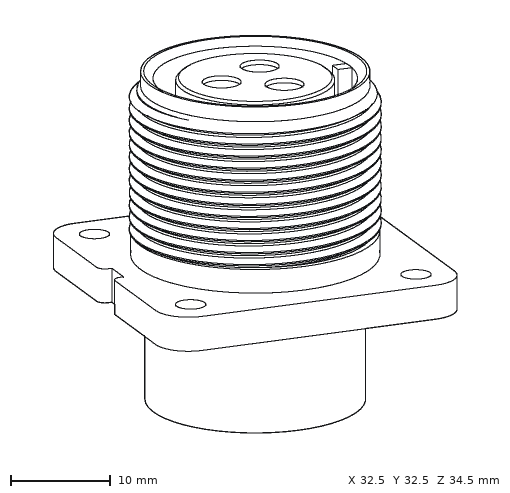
import cadquery as cq
import math

total_height = 34.55
flange_bottom = 11.65
flange_thickness = 3.6
flange_top = flange_bottom + flange_thickness
collar_top = 17.72
nose_bottom = 33.0

flange_side = 32.55
corner_radius = 3.55
hole_spacing = 24.55
hole_diameter = 3.05
notch_width = 2.97
notch_depth = 1.28
notch_round = 0.9

barrel_radius = 11.1
collar_radius = 12.5
nose_radius = 11.5

thread_turns = 12
thread_pitch = (nose_bottom - collar_top) / thread_turns
crest_radius = 12.65
root_radius = 11.88
crest_flat = 0.15
flank_angle = 30.0
ridge_overlap = 0.1
envelope_clearance = 0.35
crest_height_at_x = 18.3

bore_radius = 10.25
mouth_radius = 11.2
mouth_depth = 0.73
socket_floor = flange_top
insert_radius = 7.98
insert_chamfer = 0.28
insert_top = 33.9

key_width = 1.45
key_inner_radius = 8.7
key_top = total_height - mouth_depth
key_foot_top = (socket_floor + key_top) / 2

contact_count = 3
contact_diameter = 3.9
contact_circle_radius = 3.65
contact_depth = 0.5
first_contact_angle = -90.0


def cylinder(radius, bottom, top):
    return cq.Workplane("XY").workplane(offset=bottom).circle(radius).extrude(top - bottom)


def flange():
    half = flange_side / 2
    plate = (
        cq.Workplane("XY")
        .workplane(offset=flange_bottom)
        .rect(flange_side, flange_side)
        .extrude(flange_thickness)
        .edges("|Z")
        .fillet(corner_radius)
    )
    holes = (
        cq.Workplane("XY")
        .workplane(offset=flange_bottom)
        .rect(hole_spacing, hole_spacing, forConstruction=True)
        .vertices()
        .circle(hole_diameter / 2)
        .extrude(flange_thickness)
    )
    left = -notch_width / 2
    right = notch_width / 2
    floor_y = notch_depth - half
    round_y = notch_round - half
    diagonal = notch_round * (1 - math.sqrt(0.5))
    notch = (
        cq.Workplane("XY")
        .workplane(offset=flange_bottom)
        .moveTo(left, floor_y)
        .lineTo(right, floor_y)
        .lineTo(right, round_y)
        .threePointArc((right + diagonal, diagonal - half), (right + notch_round, -half))
        .lineTo(left - notch_round, -half)
        .threePointArc((left - diagonal, diagonal - half), (left, round_y))
        .close()
        .extrude(flange_thickness)
    )
    return plate.cut(holes).cut(notch)


def thread_ridge():
    """Right-handed helical ridge, running past both ends of the threaded length."""
    start = crest_height_at_x - thread_pitch
    turns = math.ceil((nose_bottom - start) / thread_pitch)
    base_radius = root_radius - ridge_overlap
    crest_half = crest_flat / 2
    base_half = crest_half + (crest_radius - base_radius) * math.tan(math.radians(flank_angle))
    path = cq.Wire.makeHelix(thread_pitch, turns * thread_pitch, base_radius)
    return (
        cq.Workplane("XZ")
        .polyline([
            (base_radius, -base_half),
            (crest_radius, -crest_half),
            (crest_radius, crest_half),
            (base_radius, base_half),
        ])
        .close()
        .sweep(cq.Workplane(path), isFrenet=True)
        .translate((0, 0, start))
    )


def thread_envelope():
    """Double cone that trims the thread to a lead-in above and a short run-out below."""
    clear_radius = crest_radius + envelope_clearance
    lead_in = clear_radius - nose_radius
    run_out = clear_radius - collar_radius
    return (
        cq.Workplane("XZ")
        .polyline([
            (0, collar_top),
            (collar_radius, collar_top),
            (clear_radius, collar_top + run_out),
            (clear_radius, nose_bottom - lead_in),
            (nose_radius, nose_bottom),
            (0, nose_bottom),
        ])
        .close()
        .revolve(360, (0, 0, 0), (0, 1, 0))
    )


def threaded_section():
    core = cylinder(root_radius, flange_top, total_height)
    return core.union(thread_ridge()).intersect(thread_envelope())


def socket():
    bore = cylinder(bore_radius, socket_floor, total_height)
    mouth = (
        cq.Workplane("XZ")
        .polyline([
            (0, total_height - mouth_depth),
            (bore_radius, total_height - mouth_depth),
            (mouth_radius, total_height),
            (0, total_height),
        ])
        .close()
        .revolve(360, (0, 0, 0), (0, 1, 0))
    )
    return bore.union(mouth)


def insert():
    body = cylinder(insert_radius, socket_floor, insert_top)
    return body.faces(">Z").chamfer(insert_chamfer)


def key_block(inner_radius, top):
    """Radial block that runs from inner_radius into the socket wall."""
    outer_radius = (bore_radius + nose_radius) / 2
    return (
        cq.Workplane("XY")
        .workplane(offset=socket_floor)
        .center(0, (inner_radius + outer_radius) / 2)
        .rect(key_width, outer_radius - inner_radius)
        .extrude(top - socket_floor)
    )


def key():
    upper = key_block(key_inner_radius, key_top)
    foot = key_block(insert_radius - insert_chamfer, key_foot_top)
    return upper.union(foot)


def contact_holes():
    return (
        cq.Workplane("XY")
        .workplane(offset=insert_top - contact_depth)
        .polarArray(contact_circle_radius, first_contact_angle, 360, contact_count)
        .circle(contact_diameter / 2)
        .extrude(contact_depth)
    )


shell = (
    cylinder(barrel_radius, 0, flange_bottom)
    .union(flange())
    .union(cylinder(collar_radius, flange_top, collar_top))
    .union(threaded_section())
    .union(cylinder(nose_radius, nose_bottom, total_height))
    .cut(socket())
)

result = shell.union(insert()).union(key()).cut(contact_holes())